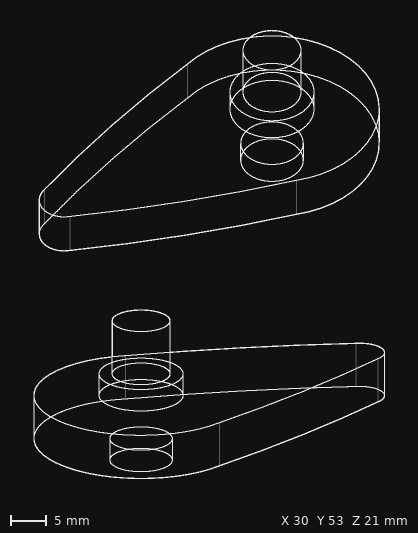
import cadquery as cq
import math

overall_length = 53.0
head_radius = 15.0
tip_y = head_radius - overall_length
head_joint_y = -5.0
tip_half_width = 3.3
tip_depth = 2.35
flank_bulge = 0.65

foot_height = 3.25
plate_thickness = 6.5
collar_height = 3.25
pin_height = 8.0

foot_diameter = 8.75
collar_diameter = 11.75
pin_diameter = 8.1

head_joint_x = math.sqrt(head_radius**2 - head_joint_y**2)
tip_joint_y = tip_y + tip_depth

chord_x = head_joint_x - tip_half_width
chord_y = head_joint_y - tip_joint_y
chord_length = math.hypot(chord_x, chord_y)
flank_mid_x = (head_joint_x + tip_half_width) / 2 + flank_bulge * chord_y / chord_length
flank_mid_y = (head_joint_y + tip_joint_y) / 2 - flank_bulge * chord_x / chord_length

plate = (
    cq.Workplane("XY")
    .moveTo(-head_joint_x, head_joint_y)
    .threePointArc((0, head_radius), (head_joint_x, head_joint_y))
    .threePointArc((flank_mid_x, flank_mid_y), (tip_half_width, tip_joint_y))
    .threePointArc((0, tip_y), (-tip_half_width, tip_joint_y))
    .threePointArc((-flank_mid_x, flank_mid_y), (-head_joint_x, head_joint_y))
    .close()
    .extrude(plate_thickness)
)


def disc(diameter, bottom, height):
    """Solid cylinder on the pin axis."""
    return cq.Workplane("XY").workplane(offset=bottom).circle(diameter / 2).extrude(height)


collar_top = plate_thickness + collar_height
foot = disc(foot_diameter, -foot_height, foot_height)
collar = disc(collar_diameter, plate_thickness, collar_height)
pin = disc(pin_diameter, collar_top, pin_height)

result = plate.union(foot).union(collar).union(pin)